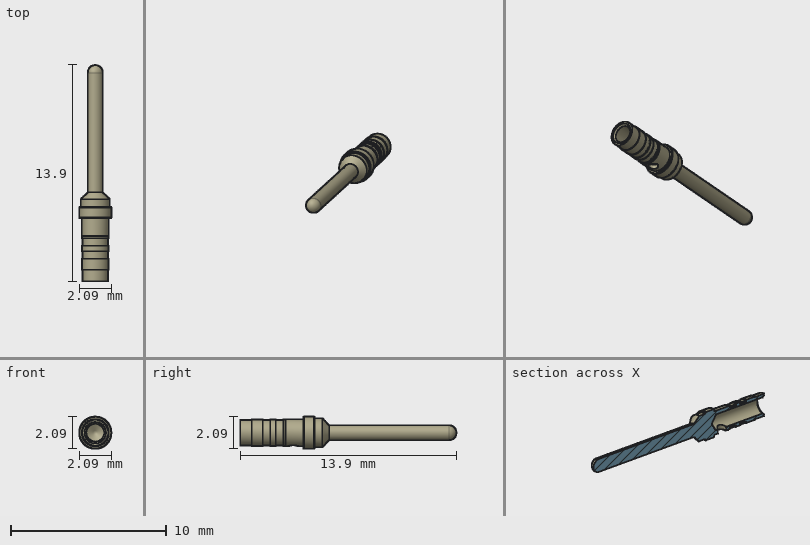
import cadquery as cq
import math


total_length = 13.92
tail_end = 0.76
band_width = 0.49
band_starts = (1.46, 2.30)
barrel_step_y = 2.90
barrel_step_length = 0.03
collar_front = 4.05
collar_back = 4.80
shoulder_back = 5.30
cone_back = 5.72

pin_radius = 0.49
shoulder_radius = 0.94
collar_radius = 2.09 / 2
barrel_radius = 0.875
land_radius = 0.865
tail_radius = 0.83
band_radius = tail_radius
band_thickness = 0.08
groove_radius = band_radius - band_thickness

collar_chamfer = 0.03
collar_front_chamfer_length = 0.08
collar_back_chamfer_length = 0.05

bore_radius = 0.57
bore_depth = 3.90
bore_point_angle = 118
mouth_radius = 0.69
mouth_depth = 0.12

inspection_radius = 0.32
inspection_y = 3.42


def turned(outline):
    """Revolve a closed (radius, Y) outline, drawn in the XY plane, about the Y axis."""
    return outline.close().revolve(360, (0, 0, 0), (0, 1, 0))


def ring(inner_radius, outer_radius, start):
    """One band-wide ring around the Y axis, beginning at the given Y."""
    outline = (
        cq.Workplane("XY")
        .moveTo(inner_radius, start)
        .lineTo(outer_radius, start)
        .lineTo(outer_radius, start + band_width)
        .lineTo(inner_radius, start + band_width)
    )
    return turned(outline)


def contact_blank():
    """Solid turned contact, before the bore, grooves and inspection hole."""
    tip_start = total_length - pin_radius
    tip_mid = pin_radius * math.sqrt(0.5)
    outline = (
        cq.Workplane("XY")
        .moveTo(0, 0)
        .lineTo(tail_radius, 0)
        .lineTo(tail_radius, tail_end)
        .lineTo(land_radius, tail_end)
        .lineTo(land_radius, barrel_step_y)
        .lineTo(barrel_radius, barrel_step_y + barrel_step_length)
        .lineTo(barrel_radius, collar_front)
        .lineTo(collar_radius - collar_chamfer, collar_front)
        .lineTo(collar_radius, collar_front + collar_front_chamfer_length)
        .lineTo(collar_radius, collar_back - collar_back_chamfer_length)
        .lineTo(collar_radius - collar_chamfer, collar_back)
        .lineTo(shoulder_radius, collar_back)
        .lineTo(shoulder_radius, shoulder_back)
        .lineTo(pin_radius, cone_back)
        .lineTo(pin_radius, tip_start)
        .threePointArc((tip_mid, tip_start + tip_mid), (0, total_length))
    )
    return turned(outline)


def wire_bore():
    """Drilled bore with a countersunk mouth and a conical drill point."""
    point_length = bore_radius / math.tan(math.radians(bore_point_angle / 2))
    outline = (
        cq.Workplane("XY")
        .moveTo(0, 0)
        .lineTo(mouth_radius, 0)
        .lineTo(bore_radius, mouth_depth)
        .lineTo(bore_radius, bore_depth)
        .lineTo(0, bore_depth + point_length)
    )
    return turned(outline)


def inspection_hole():
    """Radial hole running from the bore axis out through the -Z wall."""
    return (
        cq.Workplane("XY")
        .center(0, inspection_y)
        .circle(inspection_radius)
        .extrude(-collar_radius)
    )


contact = contact_blank().cut(wire_bore()).cut(inspection_hole())
for band_start in band_starts:
    contact = contact.cut(ring(groove_radius, collar_radius, band_start))

bands = [ring(groove_radius, band_radius, band_start) for band_start in band_starts]

result = cq.Compound.makeCompound([contact.val(), *[band.val() for band in bands]])